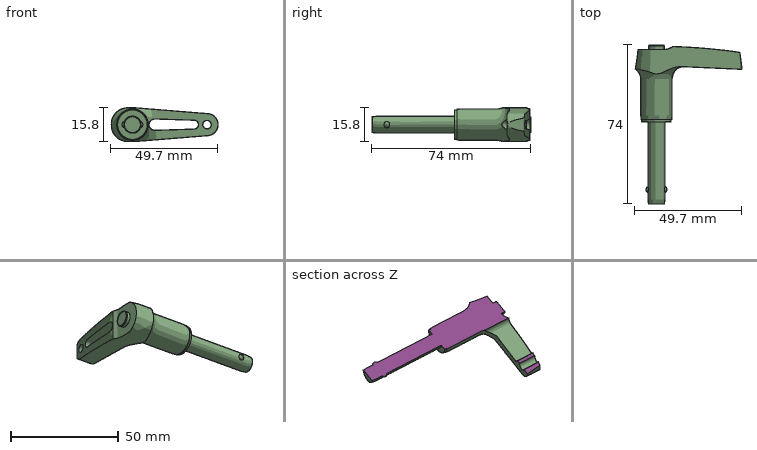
import cadquery as cq
import math


shaft_radius = 4.0
tip_radius = 3.7
tip_length = 2.1
ball_radius = 1.5
ball_offset = 3.4
ball_y = 6.8

lip_radius = 6.9
lip_start = 38.25
lip_end = 39.4
taper_end = 41.1
taper_radius = 7.2
collar_radius = 7.3
flare_start = 58.0
flare_radius = 6.0
flare_end = flare_start + flare_radius

button_radius = 3.7
button_top = 74.0
button_chamfer_height = 0.45
button_chamfer_inset = 0.2

hub_top = 72.0
hub_radius = 7.9
hub_center_x = -2.0
hub_flat_end = 0.7
hub_cone_top_radius = 8.6
hub_cone_bottom_radius = 9.85
hub_cone_bottom = 63.05

end_radius = 5.2
hole_x = 34.7
hole_radius = 1.9
arm_end_x = 39.95
ramp_start_x = 3.3
ramp_end = (7.6, 73.4)
arm_top_mid = (22.95, 72.5)
arm_top_end = (38.85, 70.7)
underside_end_y = 62.7
underside_start = (10.35, flare_end)
corner_radius = 0.6

slot_inner_x = 10.35
slot_inner_radius = 2.6
slot_outer_x = 28.7
slot_outer_radius = 2.0


def tangent_point(center_x, radius, slope_sine):
    """Point where a line leaning by slope_sine touches a circle on the X axis."""
    slope_cosine = math.sqrt(1 - slope_sine**2)
    return center_x + radius * slope_sine, radius * slope_cosine


def tapered_bar(left_x, left_radius, right_x, right_radius):
    """Bar through the lever with two round ends and sides tangent to both."""
    slope_sine = (left_radius - right_radius) / (right_x - left_x)
    x1, z1 = tangent_point(left_x, left_radius, slope_sine)
    x2, z2 = tangent_point(right_x, right_radius, slope_sine)
    return through_y(
        cq.Workplane("XZ")
        .moveTo(x1, z1)
        .lineTo(x2, z2)
        .threePointArc((right_x + right_radius, 0), (x2, -z2))
        .lineTo(x1, -z1)
        .threePointArc((left_x - left_radius, 0), (x1, z1))
        .close()
    )


def through_y(outline):
    """Extrude an XZ outline over the whole height of the part."""
    return outline.extrude(-button_top)


def revolve_y(outline):
    """Turn an XY half section around the shaft axis."""
    return outline.close().revolve(360, (0, 0, 0), (0, 1, 0))


def make_pin():
    return revolve_y(
        cq.Workplane("XY")
        .lineTo(tip_radius, 0)
        .lineTo(shaft_radius, tip_length)
        .lineTo(shaft_radius, lip_start)
        .lineTo(lip_radius, lip_start)
        .lineTo(lip_radius, lip_end)
        .lineTo(taper_radius, lip_end)
        .lineTo(collar_radius, taper_end)
        .lineTo(collar_radius, flare_start)
        .lineTo(0, flare_start)
    )


def make_flare():
    """Concave flare of revolution between the collar and the lever underside."""
    diagonal = flare_radius * math.sqrt(0.5)
    flare_center_x = collar_radius + flare_radius
    return revolve_y(
        cq.Workplane("XY")
        .moveTo(0, flare_start)
        .lineTo(collar_radius, flare_start)
        .threePointArc(
            (flare_center_x - diagonal, flare_start + diagonal),
            (flare_center_x, flare_end),
        )
        .lineTo(0, flare_end)
    )


def make_side_profile():
    """Top ramp, crowned back and sloping end of the lever, across its full width."""
    profile = (
        cq.Workplane("XY")
        .workplane(offset=-hub_radius)
        .moveTo(-2 * hub_radius, underside_start[1])
        .lineTo(-2 * hub_radius, hub_top)
        .lineTo(ramp_start_x, hub_top)
        .tangentArcPoint(ramp_end, relative=False)
        .threePointArc(arm_top_mid, arm_top_end)
        .lineTo(arm_end_x, underside_end_y)
        .lineTo(*underside_start)
        .close()
        .extrude(2 * hub_radius)
    )
    tip_region = cq.selectors.BoxSelector(
        (hole_x, flare_start, -hub_radius), (2 * arm_end_x, button_top, hub_radius)
    )
    return profile.edges("|Z").edges(tip_region).fillet(corner_radius)


def make_hub_cone():
    """Cone that trims the round hub end, with a clear block over the arm side."""
    taper = (hub_cone_bottom_radius - hub_cone_top_radius) / (hub_top - hub_cone_bottom)
    base_radius = hub_cone_bottom_radius + taper * (hub_cone_bottom - flare_start)
    cone = revolve_y(
        cq.Workplane("XY")
        .moveTo(0, flare_start)
        .lineTo(base_radius, flare_start)
        .lineTo(hub_cone_top_radius, hub_top)
        .lineTo(0, hub_top)
    )
    arm_side = cq.Workplane("XY").box(
        arm_end_x, button_top, 2 * hub_radius, centered=(False, False, True)
    )
    return cone.union(arm_side)


def make_lever():
    plan = tapered_bar(hub_flat_end, hub_radius, hole_x, end_radius)
    plan = plan.union(tapered_bar(hub_center_x, hub_radius, hub_flat_end, hub_radius))
    plan = plan.intersect(make_hub_cone())
    lever = plan.intersect(make_side_profile()).union(plan.intersect(make_flare()))
    slot = tapered_bar(slot_inner_x, slot_inner_radius, slot_outer_x, slot_outer_radius)
    hole = through_y(cq.Workplane("XZ").center(hole_x, 0).circle(hole_radius))
    return lever.cut(slot).cut(hole)


def make_button():
    return (
        cq.Workplane("XZ", origin=(0, flare_start, 0))
        .circle(button_radius)
        .extrude(flare_start - button_top)
        .faces(">Y")
        .chamfer(button_chamfer_height, button_chamfer_inset)
    )


result = make_pin().union(make_lever()).union(make_button())
for side in (-1, 1):
    ball = cq.Workplane("XY").sphere(ball_radius).translate((side * ball_offset, ball_y, 0))
    result = result.union(ball)